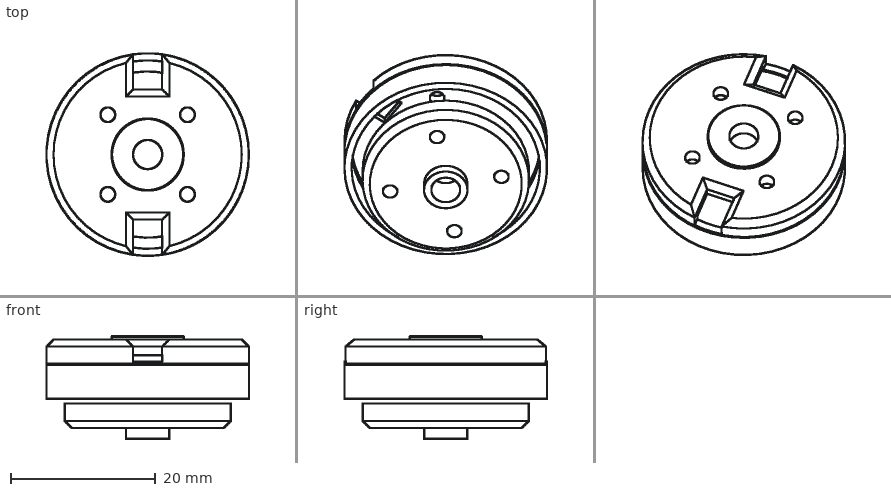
import cadquery as cq

shell_radius = 14.0
shell_wall = 1.0
shell_bore_radius = shell_radius - shell_wall
edge_chamfer = 1.0
fine_chamfer = 0.1
shaft_bore_diameter = 4.0
bolt_hole_diameter = 2.0
bolt_spacing = 11.0

base_radius = 11.5
spigot_radius = 3.0
spigot_length = 1.5
base_thickness = 3.4

ring_bottom = 5.55
ring_height = 4.75
ring_top = ring_bottom + ring_height

cap_height = 3.45
cap_top = ring_top + cap_height
plate_thickness = 2.2
plate_bottom = cap_top - plate_thickness

hub_radius = 5.0
hub_top = 14.2
hub_height = hub_top - plate_bottom

slot_width = 4.0
slot_inner_y = 9.0
slot_floor = 10.7
slot_outer_y = shell_radius + 1.0


def disc(radius, bottom, height):
    """Solid cylinder about Z."""
    return cq.Workplane("XY").workplane(offset=bottom).circle(radius).extrude(height)


def drill_bolt_holes(body):
    """Four through holes on a square pattern."""
    return (
        body.faces(">Z").workplane(origin=(0, 0, 0))
        .rect(bolt_spacing, bolt_spacing, forConstruction=True)
        .vertices()
        .hole(bolt_hole_diameter)
    )


def slot_outline(level, margin):
    """Slot rectangle on the +Y side at a given height, widened by margin on three sides."""
    inner_y = slot_inner_y - margin
    length = slot_outer_y - inner_y
    middle_y = inner_y + length / 2
    width = slot_width + 2 * margin
    return cq.Workplane("XY").workplane(offset=level).center(0, middle_y).rect(width, length)


def slot_cutter():
    """Straight slot whose mouth is bevelled on both sides and at its inner end."""
    bevel_bottom = cap_top - edge_chamfer
    straight = slot_outline(slot_floor, 0).extrude(bevel_bottom - slot_floor)
    lower_wire = slot_outline(bevel_bottom, 0).val()
    upper_wire = slot_outline(cap_top, edge_chamfer).val()
    bevel = cq.Solid.makeLoft([lower_wire, upper_wire], True)
    return straight.union(cq.Workplane(bevel))


def make_base():
    plate = disc(base_radius, spigot_length, base_thickness)
    plate = plate.faces("<Z").edges().chamfer(edge_chamfer)
    plate = drill_bolt_holes(plate)
    spigot = disc(spigot_radius, 0, spigot_length)
    return plate.union(spigot).faces(">Z").workplane(origin=(0, 0, 0)).hole(shaft_bore_diameter)


def make_ring():
    wall = disc(shell_radius, ring_bottom, ring_height)
    wall = wall.faces(">Z").edges().chamfer(fine_chamfer)
    return wall.cut(disc(shell_bore_radius, ring_bottom, ring_height))


def make_cap():
    cap = disc(shell_radius, ring_top, cap_height)
    cap = cap.faces(">Z").edges().chamfer(edge_chamfer)
    cap = cap.faces("<Z").edges().chamfer(fine_chamfer)
    cap = cap.cut(disc(shell_bore_radius, ring_top, plate_bottom - ring_top))
    cap = drill_bolt_holes(cap)
    cap = cap.cut(disc(hub_radius, plate_bottom, plate_thickness))
    cutter = slot_cutter()
    for angle in (0, 180):
        cap = cap.cut(cutter.rotate((0, 0, 0), (0, 0, 1), angle))
    return cap


def make_hub():
    hub = disc(hub_radius, plate_bottom, hub_height)
    hub = hub.faces(">Z").edges().chamfer(fine_chamfer)
    return hub.faces(">Z").workplane(origin=(0, 0, 0)).hole(shaft_bore_diameter)


base = make_base()
ring = make_ring()
cap = make_cap()
hub = make_hub()

result = cq.Compound.makeCompound([base.val(), ring.val(), cap.val(), hub.val()])